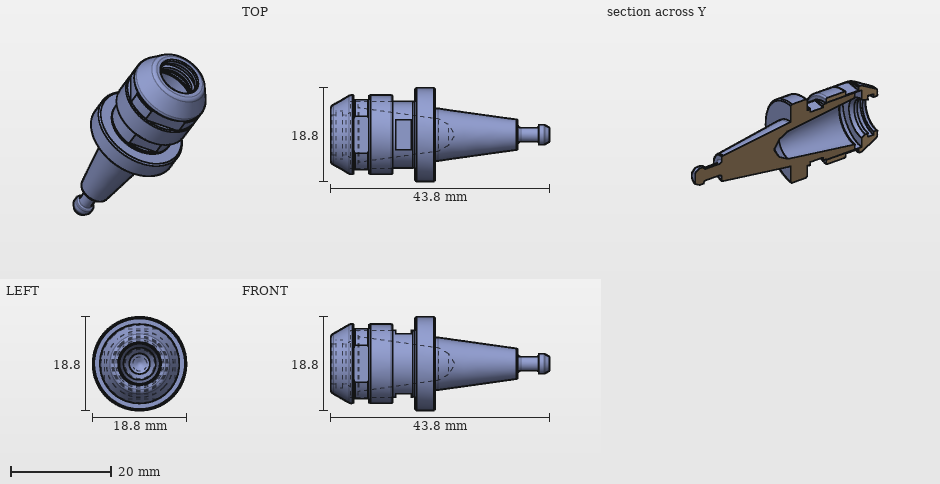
import cadquery as cq
import math


nut_radius = 7.95
nut_length = 12.42
nose_angle = math.radians(30)
nose_rim_radius = 5.7
nose_round = 1.0
nose_end = 4.65
flat_band_end = 7.65
nose_back_chamfer = 0.27
collar_front_chamfer = 0.33
collar_back_round = 0.4
flat_band_chamfer = 0.25
groove_depth = 0.2
wrench_flat_distance = 7.02

mouth_radius = 4.3
mouth_chamfer = 0.27
bore_radius = mouth_radius - mouth_chamfer
ring_groove_radius = 4.8
ring_groove_start = 1.0
ring_groove_end = 2.3
lip_radius = 4.0
lip_end = 3.0
press_cone_end = 3.9
press_cone_angle = math.radians(30)

neck_radius = 6.7
spigot_start = 5.42
relief_depth = 0.05
relief_start = 16.45
flange_start = 16.85
flange_end = 20.87
flange_radius = 9.4
flange_front_chamfer = 0.35
flange_back_chamfer = 0.3
taper_start = 21.45
taper_end = 37.4
taper_radius = 5.28
taper_angle = math.radians(8)
taper_tip_chamfer_length = 0.3
taper_tip_chamfer_height = 0.15
neck_flat_distance = 6.0
neck_flat_start = 13.07
neck_flat_end = 16.12

seat_mouth_radius = 5.6
seat_mouth_chamfer = 0.24
seat_mouth_chamfer_angle = math.radians(30)
collet_seat_angle = math.radians(8)
seat_bottom_radius = 3.23
pilot_radius = 2.06
pilot_cone_angle = math.radians(30)
drill_point_angle = math.radians(59)

stud_radius = 1.42
stud_base_round = 0.6
stud_root_radius = 2.5
stud_root_depth = 0.6
stud_head_radius = 2.03
stud_head_start = 41.6
stud_neck_round = 0.3
stud_head_edge_round = 0.15
stud_cone_start = 42.7
stud_cone_angle = math.radians(30)
stud_cone_round = 0.25
stud_end_round = 0.35
overall_length = 43.77


def turned(points):
    """Revolve an (x, radius) outline about the X axis."""
    return cq.Workplane("XZ").polyline(points).close().revolve(360, (0, 0, 0), (1, 0, 0))


def round_edge(body, x, radius, size):
    """Round the circular edge of the given radius centred on the axis at x."""
    tolerance = 0.01
    edges = [
        edge for edge in body.edges("%CIRCLE").vals()
        if abs(edge.radius() - radius) < tolerance and abs(edge.arcCenter().x - x) < tolerance
    ]
    return body.newObject(edges).fillet(size)


def band_cutter(start, end, distance, turn):
    """Block lying outside a flat at the given distance from the axis, turned about the axis."""
    width = 2 * flange_radius
    block = cq.Workplane("XY").box(end - start, width, width, centered=(False, True, False))
    return block.translate((start, 0, distance)).rotate((0, 0, 0), (1, 0, 0), turn)


def make_nut():
    groove_floor_radius = nut_radius - groove_depth
    nose_length = (nut_radius - nose_rim_radius) / math.tan(nose_angle)
    front = turned([
        (0, 0),
        (0, nose_rim_radius),
        (nose_length, nut_radius),
        (nose_end - nose_back_chamfer, nut_radius),
        (nose_end, groove_floor_radius),
        (nose_end, 0),
    ])
    front = round_edge(front, 0, nose_rim_radius, nose_round)
    front = round_edge(front, nose_length, nut_radius, nose_round)

    band = turned([
        (nose_end, 0),
        (nose_end, groove_floor_radius),
        (nose_end + flat_band_chamfer, nut_radius),
        (flat_band_end - flat_band_chamfer, nut_radius),
        (flat_band_end, groove_floor_radius),
        (flat_band_end, 0),
    ])
    for turn in range(0, 360, 90):
        band = band.cut(band_cutter(nose_end, flat_band_end, wrench_flat_distance, turn))

    collar = turned([
        (flat_band_end, 0),
        (flat_band_end, groove_floor_radius),
        (flat_band_end + collar_front_chamfer, nut_radius),
        (nut_length, nut_radius),
        (nut_length, 0),
    ])
    collar = round_edge(collar, nut_length, nut_radius, collar_back_round)

    press_cone_radius = lip_radius + (press_cone_end - lip_end) * math.tan(press_cone_angle)
    bore = turned([
        (0, 0),
        (0, mouth_radius),
        (mouth_chamfer, bore_radius),
        (ring_groove_start, bore_radius),
        (ring_groove_start, ring_groove_radius),
        (ring_groove_end, ring_groove_radius),
        (ring_groove_end, lip_radius),
        (lip_end, lip_radius),
        (press_cone_end, press_cone_radius),
        (press_cone_end, neck_radius),
        (nut_length, neck_radius),
        (nut_length, 0),
    ])
    return front.union(band).union(collar).cut(bore)


def make_holder():
    relief_radius = neck_radius - relief_depth
    chamfer_start = taper_end - taper_tip_chamfer_length
    tip_radius = taper_radius - (chamfer_start - taper_start) * math.tan(taper_angle)
    body = turned([
        (spigot_start, 0),
        (spigot_start, neck_radius),
        (relief_start, neck_radius),
        (relief_start, relief_radius),
        (flange_start, relief_radius),
        (flange_start, flange_radius - flange_front_chamfer),
        (flange_start + flange_front_chamfer, flange_radius),
        (flange_end - flange_back_chamfer, flange_radius),
        (flange_end, flange_radius - flange_back_chamfer),
        (flange_end, taper_radius),
        (taper_start, taper_radius),
        (chamfer_start, tip_radius),
        (taper_end, tip_radius - taper_tip_chamfer_height),
        (taper_end, 0),
    ])
    for turn in (0, 180):
        body = body.cut(band_cutter(neck_flat_start, neck_flat_end, neck_flat_distance, turn))
    return body.union(make_pull_stud()).cut(make_collet_seat())


def make_pull_stud():
    end_radius = stud_head_radius - (overall_length - stud_cone_start) * math.tan(stud_cone_angle)
    stud = turned([
        (taper_end - stud_root_depth, 0),
        (taper_end - stud_root_depth, stud_root_radius),
        (taper_end, stud_root_radius),
        (taper_end, stud_radius),
        (stud_head_start, stud_radius),
        (stud_head_start, stud_head_radius),
        (stud_cone_start, stud_head_radius),
        (overall_length, end_radius),
        (overall_length, 0),
    ])
    stud = round_edge(stud, overall_length, end_radius, stud_end_round)
    stud = round_edge(stud, stud_cone_start, stud_head_radius, stud_cone_round)
    stud = round_edge(stud, stud_head_start, stud_head_radius, stud_head_edge_round)
    stud = round_edge(stud, stud_head_start, stud_radius, stud_neck_round)
    return round_edge(stud, taper_end, stud_radius, stud_base_round)


def make_collet_seat():
    seat_start = spigot_start + seat_mouth_chamfer
    seat_radius = seat_mouth_radius - seat_mouth_chamfer * math.tan(seat_mouth_chamfer_angle)
    seat_end = seat_start + (seat_radius - seat_bottom_radius) / math.tan(collet_seat_angle)
    pilot_start = seat_end + (seat_bottom_radius - pilot_radius) / math.tan(pilot_cone_angle)
    pilot_tip = pilot_start + pilot_radius / math.tan(drill_point_angle)
    return turned([
        (spigot_start, 0),
        (spigot_start, seat_mouth_radius),
        (seat_start, seat_radius),
        (seat_end, seat_bottom_radius),
        (pilot_start, pilot_radius),
        (pilot_tip, 0),
    ])


holder = make_holder()
nut = make_nut()
result = cq.Compound.makeCompound([nut.val(), holder.val()])